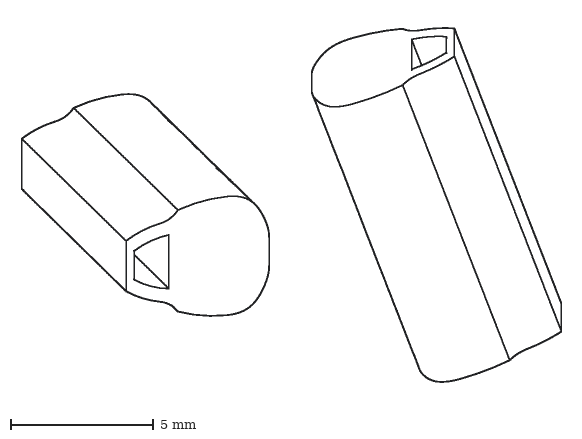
import cadquery as cq
import math

length = 12.0
width = 5.29
height = 4.4

crest_y = 1.08
shoulder_point = (2.155, 1.765)
brow_point = (2.59, 0.92)
crown_radius = 5.3
crown_end_y = -0.73

flank_center_y = -0.7
flank_center_z = -2.0
flank_radius = 3.52
flank_start_y = -1.385
side_wall = 0.5
end_wall = 0.3
cavity_start_y = -1.06

head_y = width / 2
tail_y = -width / 2
crest_z = height / 2
cavity_end_y = tail_y + end_wall
cavity_radius = flank_radius - side_wall


def arc_height(y, center_y, center_z, radius):
    """Z of the upper side of a circle at the given Y."""
    return center_z + math.sqrt(radius**2 - (y - center_y) ** 2)


def arc_middle(start_y, end_y, center_y, center_z, radius):
    """A point on the upper side of a circle, halfway in Y between two ends."""
    y = (start_y + end_y) / 2
    return (y, arc_height(y, center_y, center_z, radius))


def upper_body_profile():
    """Closed outline of the upper half of the section, in (Y, Z)."""
    crown = (crest_y, crest_z - crown_radius, crown_radius)
    crown_end = (crown_end_y, arc_height(crown_end_y, *crown))
    flank = (flank_center_y, flank_center_z, flank_radius)
    flank_start = (flank_start_y, arc_height(flank_start_y, *flank))
    flank_end = (tail_y, arc_height(tail_y, *flank))
    return (
        cq.Workplane("YZ", origin=(-length / 2, 0, 0))
        .moveTo(tail_y, 0)
        .lineTo(*flank_end)
        .threePointArc(arc_middle(tail_y, flank_start_y, *flank), flank_start)
        .tangentArcPoint(crown_end, relative=False)
        .threePointArc(arc_middle(crown_end_y, crest_y, *crown), (crest_y, crest_z))
        .spline(
            [shoulder_point, brow_point, (head_y, 0)],
            tangents=[(1, 0), (0, -1)],
            includeCurrent=True,
        )
        .close()
    )


def upper_cavity_profile():
    """Closed outline of the upper half of the tail cavity, in (Y, Z)."""
    roof = (flank_center_y, flank_center_z, cavity_radius)
    roof_start = (cavity_start_y, arc_height(cavity_start_y, *roof))
    roof_end = (cavity_end_y, arc_height(cavity_end_y, *roof))
    return (
        cq.Workplane("YZ", origin=(-length / 2, 0, 0))
        .moveTo(cavity_end_y, 0)
        .lineTo(*roof_end)
        .threePointArc(arc_middle(cavity_end_y, cavity_start_y, *roof), roof_start)
        .lineTo(cavity_start_y, 0)
        .close()
    )


def mirrored_bar(upper_profile):
    """Extrude an upper half section along X and join it to its mirror image below."""
    upper = upper_profile.extrude(length)
    return upper.union(upper.mirror("XY")).clean()


result = mirrored_bar(upper_body_profile()).cut(mirrored_bar(upper_cavity_profile()))